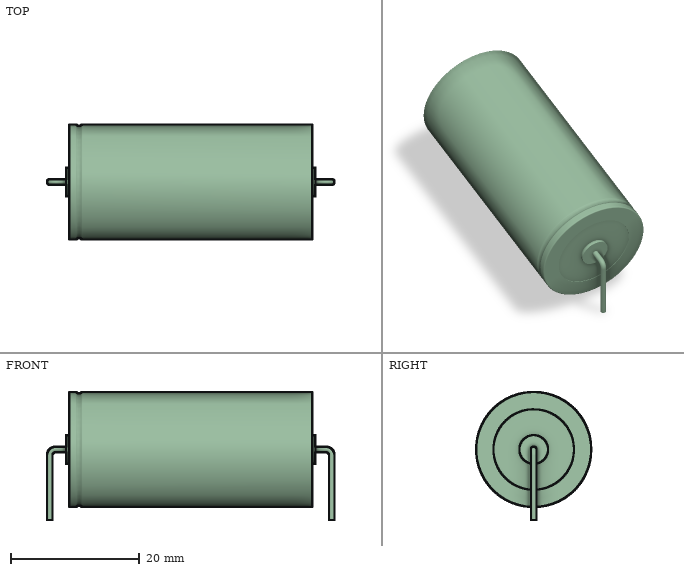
import cadquery as cq
import math

can_length = 38.0
can_diameter = 18.0
can_edge_radius = 0.2

groove_center_x = -17.4
groove_mouth_width = 1.12
groove_depth = 0.22
groove_lip_radius = 0.25
cut_clearance = 0.45

recess_diameter = 12.55
recess_depth = 0.1
collar_diameter = 4.5
collar_height = 0.45

lead_span = 44.9
lead_diameter = 0.9
lead_bend_radius = 0.9
overall_height = 20.03

can_half_length = can_length / 2
can_radius = can_diameter / 2
collar_end_x = can_half_length + collar_height
lead_bottom_z = can_radius - overall_height


def make_can():
    can = cq.Workplane("YZ").workplane(offset=-can_half_length).circle(can_radius).extrude(can_length)
    return can.edges("%CIRCLE").fillet(can_edge_radius)


def make_groove_cutter():
    """Revolved ring: a concave floor arc that blends into the can wall through two lip arcs."""
    mouth_half = groove_mouth_width / 2
    radius_sum = (mouth_half**2 + groove_depth**2) / (2 * groove_depth)
    lip_share = groove_lip_radius / radius_sum
    joint_half = mouth_half * (1 - lip_share)
    joint_radius = can_radius - groove_depth * lip_share
    floor_radius = can_radius - groove_depth
    half_turn = math.asin(mouth_half / radius_sum) / 2
    lip_mid_half = mouth_half - groove_lip_radius * math.sin(half_turn)
    lip_mid_radius = can_radius - groove_lip_radius * (1 - math.cos(half_turn))
    profile = (
        cq.Workplane("XY")
        .moveTo(groove_center_x - mouth_half, can_radius)
        .threePointArc(
            (groove_center_x - lip_mid_half, lip_mid_radius),
            (groove_center_x - joint_half, joint_radius),
        )
        .threePointArc(
            (groove_center_x, floor_radius),
            (groove_center_x + joint_half, joint_radius),
        )
        .threePointArc(
            (groove_center_x + lip_mid_half, lip_mid_radius),
            (groove_center_x + mouth_half, can_radius),
        )
        .lineTo(groove_center_x + mouth_half, can_radius + cut_clearance)
        .lineTo(groove_center_x - mouth_half, can_radius + cut_clearance)
        .close()
    )
    return profile.revolve(360, (0, 0, 0), (1, 0, 0))


def make_end_recess():
    """Recess in the +X end face."""
    return (
        cq.Workplane("YZ")
        .workplane(offset=can_half_length - recess_depth)
        .circle(recess_diameter / 2)
        .extrude(recess_depth)
    )


def make_terminal():
    """Collar and bent lead of the +X end."""
    collar_base_x = can_half_length - recess_depth
    collar = (
        cq.Workplane("YZ")
        .workplane(offset=collar_base_x)
        .circle(collar_diameter / 2)
        .extrude(collar_end_x - collar_base_x)
    )
    lead_x = (lead_span - lead_diameter) / 2
    path = (
        cq.Workplane("XZ")
        .moveTo(collar_base_x, 0)
        .lineTo(lead_x - lead_bend_radius, 0)
        .tangentArcPoint((lead_x, -lead_bend_radius), relative=False)
        .lineTo(lead_x, lead_bottom_z)
    )
    lead = cq.Workplane("YZ").workplane(offset=collar_base_x).circle(lead_diameter / 2).sweep(path)
    return collar.union(lead)


recess = make_end_recess()
terminal = make_terminal()

result = make_can().cut(make_groove_cutter())
result = result.cut(recess).cut(recess.mirror("YZ"))
result = result.union(terminal).union(terminal.mirror("YZ"))